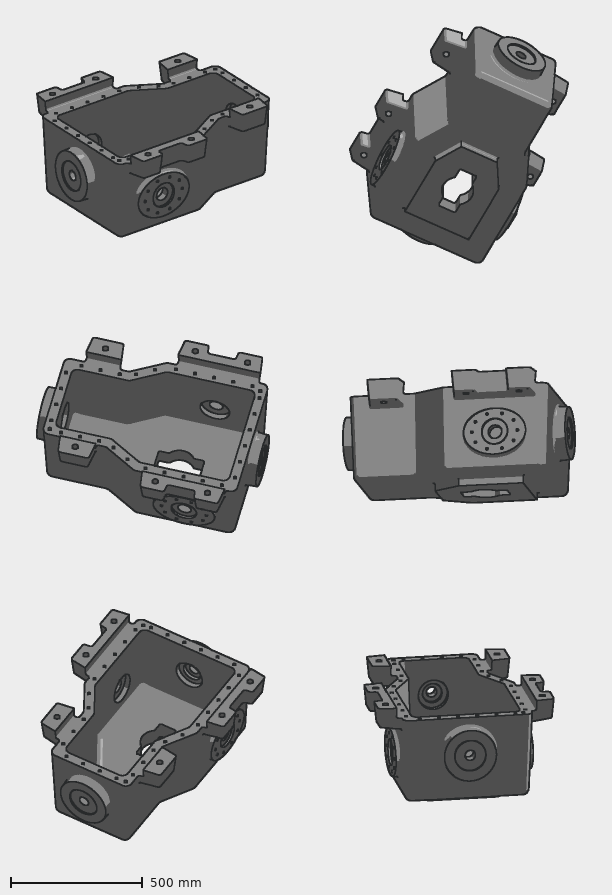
import math

import cadquery as cq


NARROW_HALF_WIDTH = 175
WIDE_HALF_WIDTH = 250
HALF_LENGTH = 390
SHOULDER_CENTER_Y = 74
SHOULDER_ANGLE = 30
BODY_HEIGHT = 330
WALL = 40
FLOOR = 40
DRAFT = 2
CORNER_RADIUS = 25
FLOOR_RADIUS = 25

PAD_HEIGHT = 30
PAD_HALF_WIDTH = 136
PAD_FRONT_Y = -275
PAD_BACK_Y = 77
PAD_SHOULDER_Y = -26
PAD_FOOT_RADIUS = 8
DRAIN_Y = -103
DRAIN_DIAMETER = 120
DRAIN_SLOT_WIDTH = 72
DRAIN_SLOT_LENGTH = 180
DRAIN_CORNER_RADIUS = 8

END_BOSS_FACE_Y = 430
END_BOSS_Z = -140
END_BOSS_DIAMETER = 201
END_HOLE_DIAMETER = 40
END_FACE_RECESS_DIAMETER = 120
END_FACE_RECESS_DEPTH = 6
END_INNER_RECESS_DIAMETER = 115
END_INNER_RECESS_DEPTH = 20
END_INNER_STEP_DIAMETER = 75
END_INNER_STEP_DEPTH = 15

SIDE_BOSS_FACE_X = 265
SIDE_BOSS_Y = -190
SIDE_BOSS_Z = -185
SIDE_BOSS_LENGTH = 241
SIDE_BOSS_HEIGHT = 180
SIDE_HOLE_DIAMETER = 52
SIDE_FACE_RECESS_DIAMETER = 100
SIDE_FACE_RECESS_DEPTH = 10
SIDE_INNER_RECESS_DIAMETER = 115
SIDE_INNER_RECESS_DEPTH = 20
SIDE_BOLT_DIAMETER = 8.38
SIDE_BOLT_DEPTH = 20
SIDE_BOLT_OFFSETS = [(88, 0), (74, 40), (29, 68)]
BOSS_FOOT_RADIUS = 10
BOSS_DRAFT = 3

LUG_TOP = 40
LUG_DRAFT = 5
LUG_FLARE = math.tan(math.radians(8))
LUG_CORNER_RADIUS = 10
LUG_FOOT_RADIUS = 10
LUG_STEP_RADIUS = 7
LUG_STEP_GAP = 20
LUG_UNDERSIDE_Z = -39
LUG_UNDERSIDE_SLOPE = math.tan(math.radians(5))
LUG_EDGE_RADIUS = 8
LUG_HOLE_DIAMETER = 22
LUG_ROOT_DEPTH = 20
NARROW_LUG_REACH = 91
NARROW_LUG_Y = 243.5
NARROW_LUG_HALF_LENGTH = 60
NARROW_LUG_HOLE_X = 228
NARROW_LUG_HOLE_Y = 246
WIDE_LUG_REACH = 90
WIDE_LUG_Y = -190
WIDE_LUG_HALF_LENGTH = 152
WIDE_LUG_NOTCH_DEPTH = 35
WIDE_LUG_NOTCH_HALF_LENGTH = 59
WIDE_LUG_HOLE_X = 302.5
WIDE_LUG_HOLE_SPACING = 205

FLANGE_BOLT_DIAMETER = 10.1
FLANGE_BOLT_DEPTH = 25
FLANGE_INSET = 20
FLANGE_PITCH = 75
END_ROW_PITCH = 74
FRONT_ROW_PAIRS = 3
BACK_ROW_PAIRS = 2
WIDE_ROW_START_Y = -330
WIDE_ROW_COUNT = 5
NARROW_ROW_START_Y = 171
NARROW_ROW_COUNT = 3
SHOULDER_BOLTS = [(170, 110.5), (208, 46.5)]
DOWEL_DIAMETER = 12
DOWELS = [(-150, 366), (216, -364.5)]


def outline_with_shoulders(narrow, wide, front_y, back_y, shoulder_front_y, shoulder_back_y):
    """Points of a symmetric outline that narrows from the front (-Y) to the back (+Y)."""
    right = [
        (wide, front_y),
        (wide, shoulder_front_y),
        (narrow, shoulder_back_y),
        (narrow, back_y),
    ]
    return right + [(-x, y) for x, y in reversed(right)]


def inset_outline(points, inset):
    """Move every side of an anticlockwise outline inwards by the same distance."""
    moved = []
    for i, (x, y) in enumerate(points):
        before, after = points[i - 1], points[(i + 1) % len(points)]
        heading_in = math.atan2(y - before[1], x - before[0])
        heading_out = math.atan2(after[1] - y, after[0] - x)
        half_turn = math.remainder(heading_out - heading_in, math.tau) / 2
        bisector = heading_in + half_turn + math.pi / 2
        reach = inset / math.cos(half_turn)
        moved.append((x + reach * math.cos(bisector), y + reach * math.sin(bisector)))
    return moved


def drafted_block(points, top_z, depth, draft):
    """Flat-sided block hanging below an outline, its walls leaning inwards by the draft angle."""
    bottom_points = inset_outline(points, depth * math.tan(math.radians(draft)))
    top = [cq.Vector(x, y, top_z) for x, y in points]
    bottom = [cq.Vector(x, y, top_z - depth) for x, y in bottom_points]
    polygons = [top, bottom]
    polygons += [[bottom[i - 1], bottom[i], top[i], top[i - 1]] for i in range(len(top))]
    faces = [cq.Face.makeFromWires(cq.Wire.makePolygon(polygon, close=True)) for polygon in polygons]
    return cq.Workplane(cq.Solid.makeSolid(cq.Shell.makeShell(faces)))


def steep_edges(solid, drop):
    return [edge for edge in solid.Edges() if edge.BoundingBox().zlen > drop]


def tapered_shell(inset, height):
    """Drafted block below the flange face, with rounded upright corners and bottom edges."""
    slant_half_length = (WIDE_HALF_WIDTH - NARROW_HALF_WIDTH) / math.tan(math.radians(SHOULDER_ANGLE)) / 2
    flange_outline = outline_with_shoulders(
        NARROW_HALF_WIDTH,
        WIDE_HALF_WIDTH,
        -HALF_LENGTH,
        HALF_LENGTH,
        SHOULDER_CENTER_Y - slant_half_length,
        SHOULDER_CENTER_Y + slant_half_length,
    )
    points = inset_outline(flange_outline, inset)
    block = drafted_block(points, 0, height, DRAFT)
    block = block.newObject(steep_edges(block.val(), height / 2)).fillet(CORNER_RADIUS)
    return block.faces("<Z").edges().fillet(FLOOR_RADIUS)


def join_with_foot(body, feature, radius):
    """Union of a body and a feature with a fillet along the line where their surfaces meet."""
    touching = 1e-3
    sample_fractions = (0.2, 0.5, 0.8)
    joined = body.union(feature)
    surfaces = [solid.val().Shells()[0] for solid in (body, feature)]

    def lies_on_both(edge):
        points = [cq.Vertex.makeVertex(*edge.positionAt(t).toTuple()) for t in sample_fractions]
        return all(surface.distance(p) < touching for surface in surfaces for p in points)

    seam = [edge for edge in joined.edges().vals() if lies_on_both(edge)]
    return joined.newObject(seam).fillet(radius)


def mirrored(feature, side):
    return feature if side > 0 else feature.mirror("YZ")


def end_plane(y, side):
    """Plane facing outwards from an end wall, centred on the end boss axis."""
    return cq.Plane(origin=(0, side * y, END_BOSS_Z), xDir=(1, 0, 0), normal=(0, side, 0))


def side_plane(x, side):
    """Plane facing outwards from a side wall, centred on the side boss axis; its x is along Y."""
    return cq.Plane(origin=(side * x, SIDE_BOSS_Y, SIDE_BOSS_Z), xDir=(0, 1, 0), normal=(side, 0, 0))


def end_boss(side):
    depth = END_BOSS_FACE_Y - HALF_LENGTH + WALL / 2
    face = cq.Workplane(end_plane(END_BOSS_FACE_Y, side))
    return face.circle(END_BOSS_DIAMETER / 2).extrude(-depth, taper=-BOSS_DRAFT)


def side_boss(side):
    depth = SIDE_BOSS_FACE_X - WIDE_HALF_WIDTH + WALL / 2
    face = cq.Workplane(side_plane(SIDE_BOSS_FACE_X, side))
    return face.ellipse(SIDE_BOSS_LENGTH / 2, SIDE_BOSS_HEIGHT / 2).extrude(-depth, taper=-BOSS_DRAFT)


def finish_lug(outline, wall_x, reach, center_y):
    """Draft a lug outline downwards, slope its underside and step its top down to the flange."""
    outer_x = wall_x + reach
    inner_x = wall_x - LUG_ROOT_DEPTH
    step_x = wall_x + LUG_STEP_GAP
    lowest_z = LUG_UNDERSIDE_Z - (outer_x - inner_x) * LUG_UNDERSIDE_SLOPE
    depth = 2 * LUG_TOP - lowest_z
    lug = drafted_block(outline, LUG_TOP, depth, LUG_DRAFT).translate((0, center_y, 0))
    outer_corners = [
        edge for edge in steep_edges(lug.val(), depth / 2) if edge.Center().x > step_x
    ]
    lug = lug.newObject(outer_corners).fillet(LUG_CORNER_RADIUS)
    profile = (
        cq.Workplane("XZ")
        .moveTo(inner_x, 0)
        .lineTo(step_x - LUG_STEP_RADIUS, 0)
        .radiusArc((step_x, LUG_STEP_RADIUS), -LUG_STEP_RADIUS)
        .lineTo(step_x, LUG_TOP)
        .lineTo(outer_x, LUG_TOP)
        .lineTo(outer_x, LUG_UNDERSIDE_Z)
        .lineTo(inner_x, lowest_z)
        .close()
        .extrude(2 * HALF_LENGTH, both=True)
    )
    lug = lug.intersect(profile)
    return lug.faces("<Z").edges("not <X").fillet(LUG_EDGE_RADIUS)


def narrow_lug():
    root_x = NARROW_HALF_WIDTH - LUG_ROOT_DEPTH
    outer_x = NARROW_HALF_WIDTH + NARROW_LUG_REACH
    root_half_length = NARROW_LUG_HALF_LENGTH + (outer_x - root_x) * LUG_FLARE
    outline = [
        (root_x, -root_half_length),
        (outer_x, -NARROW_LUG_HALF_LENGTH),
        (outer_x, NARROW_LUG_HALF_LENGTH),
        (root_x, root_half_length),
    ]
    return finish_lug(outline, NARROW_HALF_WIDTH, NARROW_LUG_REACH, NARROW_LUG_Y)


def wide_lug():
    root_x = WIDE_HALF_WIDTH - LUG_ROOT_DEPTH
    outer_x = WIDE_HALF_WIDTH + WIDE_LUG_REACH
    notch_x = outer_x - WIDE_LUG_NOTCH_DEPTH
    root_half_length = WIDE_LUG_HALF_LENGTH + (outer_x - root_x) * LUG_FLARE
    notch_root = WIDE_LUG_NOTCH_HALF_LENGTH - WIDE_LUG_NOTCH_DEPTH * LUG_FLARE
    back_half = [
        (notch_x, notch_root),
        (outer_x, WIDE_LUG_NOTCH_HALF_LENGTH),
        (outer_x, WIDE_LUG_HALF_LENGTH),
        (root_x, root_half_length),
    ]
    outline = back_half + [(x, -y) for x, y in reversed(back_half)]
    return finish_lug(outline, WIDE_HALF_WIDTH, WIDE_LUG_REACH, WIDE_LUG_Y)


def bottom_pad():
    back_half_width = PAD_HALF_WIDTH - (PAD_BACK_Y - PAD_SHOULDER_Y) * math.tan(math.radians(SHOULDER_ANGLE))
    corners = [
        (PAD_HALF_WIDTH, PAD_FRONT_Y),
        (PAD_HALF_WIDTH, PAD_SHOULDER_Y),
        (back_half_width, PAD_BACK_Y),
        (-back_half_width, PAD_BACK_Y),
        (-PAD_HALF_WIDTH, PAD_SHOULDER_Y),
        (-PAD_HALF_WIDTH, PAD_FRONT_Y),
    ]
    bottom = cq.Workplane("XY", origin=(0, 0, -BODY_HEIGHT - PAD_HEIGHT))
    return bottom.polyline(corners).close().extrude(PAD_HEIGHT + FLOOR / 2)


def drain_opening():
    depth = PAD_HEIGHT + 2 * FLOOR
    bottom = cq.Workplane("XY", origin=(0, DRAIN_Y, -BODY_HEIGHT - PAD_HEIGHT))
    slot = bottom.rect(DRAIN_SLOT_WIDTH, DRAIN_SLOT_LENGTH).extrude(depth)
    opening = slot.union(bottom.circle(DRAIN_DIAMETER / 2).extrude(depth))
    return opening.edges("|Z").fillet(DRAIN_CORNER_RADIUS)


def end_bore(side):
    """Outer recess, through hole and stepped inner recess of an end boss."""
    bore_length = END_BOSS_FACE_Y - HALF_LENGTH + 2 * WALL
    face = cq.Workplane(end_plane(END_BOSS_FACE_Y, side))
    draft_shift = -END_BOSS_Z * math.tan(math.radians(DRAFT))
    inner_wall_y = HALF_LENGTH - WALL - draft_shift
    inside = cq.Workplane(end_plane(inner_wall_y - WALL, side))
    inner_recess_depth = WALL + END_INNER_RECESS_DEPTH
    inner_step_depth = inner_recess_depth + END_INNER_STEP_DEPTH
    hole = face.circle(END_HOLE_DIAMETER / 2).extrude(-bore_length)
    outer_recess = face.circle(END_FACE_RECESS_DIAMETER / 2).extrude(-END_FACE_RECESS_DEPTH)
    inner_recess = inside.circle(END_INNER_RECESS_DIAMETER / 2).extrude(inner_recess_depth)
    inner_step = inside.circle(END_INNER_STEP_DIAMETER / 2).extrude(inner_step_depth)
    return hole.union(outer_recess).union(inner_recess).union(inner_step)


def side_bore(side):
    """Recesses, through hole and tapped holes of a side boss."""
    bore_length = SIDE_BOSS_FACE_X - WIDE_HALF_WIDTH + 2 * WALL
    face = cq.Workplane(side_plane(SIDE_BOSS_FACE_X, side))
    draft_shift = -SIDE_BOSS_Z * math.tan(math.radians(DRAFT))
    inner_wall_x = WIDE_HALF_WIDTH - WALL - draft_shift
    inside = cq.Workplane(side_plane(inner_wall_x - WALL, side))
    hole = face.circle(SIDE_HOLE_DIAMETER / 2).extrude(-bore_length)
    outer_recess = face.circle(SIDE_FACE_RECESS_DIAMETER / 2).extrude(-SIDE_FACE_RECESS_DEPTH)
    inner_recess = inside.circle(SIDE_INNER_RECESS_DIAMETER / 2).extrude(WALL + SIDE_INNER_RECESS_DEPTH)
    bolt_points = {
        (along * x, up * z) for x, z in SIDE_BOLT_OFFSETS for along in (1, -1) for up in (1, -1)
    }
    bolts = face.pushPoints(sorted(bolt_points)).circle(SIDE_BOLT_DIAMETER / 2).extrude(-SIDE_BOLT_DEPTH)
    return hole.union(outer_recess).union(inner_recess).union(bolts)


def flange_bolt_points():
    end_y = HALF_LENGTH - FLANGE_INSET
    right = [
        (WIDE_HALF_WIDTH - FLANGE_INSET, WIDE_ROW_START_Y + i * FLANGE_PITCH) for i in range(WIDE_ROW_COUNT)
    ]
    right += [
        (NARROW_HALF_WIDTH - FLANGE_INSET, NARROW_ROW_START_Y + i * FLANGE_PITCH)
        for i in range(NARROW_ROW_COUNT)
    ]
    right += SHOULDER_BOLTS
    right += [((i + 0.5) * END_ROW_PITCH, -end_y) for i in range(FRONT_ROW_PAIRS)]
    right += [((i + 0.5) * END_ROW_PITCH, end_y) for i in range(BACK_ROW_PAIRS)]
    return right + [(-x, y) for x, y in right]


def flange_holes():
    flange = cq.Workplane("XY")
    bolts = flange.pushPoints(flange_bolt_points()).circle(FLANGE_BOLT_DIAMETER / 2)
    bolts = bolts.extrude(-FLANGE_BOLT_DEPTH)
    dowels = flange.pushPoints(DOWELS).circle(DOWEL_DIAMETER / 2).extrude(-FLANGE_BOLT_DEPTH)
    return bolts.union(dowels)


def lug_holes():
    right = [(NARROW_LUG_HOLE_X, NARROW_LUG_HOLE_Y)]
    right += [(WIDE_LUG_HOLE_X, WIDE_LUG_Y + end * WIDE_LUG_HOLE_SPACING / 2) for end in (1, -1)]
    points = right + [(-x, y) for x, y in right]
    top = cq.Workplane("XY", origin=(0, 0, LUG_TOP))
    return top.pushPoints(points).circle(LUG_HOLE_DIAMETER / 2).extrude(-BODY_HEIGHT / 2)


result = tapered_shell(0, BODY_HEIGHT)
result = join_with_foot(result, bottom_pad(), PAD_FOOT_RADIUS)
for direction in (1, -1):
    result = join_with_foot(result, end_boss(direction), BOSS_FOOT_RADIUS)
    result = join_with_foot(result, side_boss(direction), BOSS_FOOT_RADIUS)
    for lug in (narrow_lug(), wide_lug()):
        result = join_with_foot(result, mirrored(lug, direction), LUG_FOOT_RADIUS)

result = result.cut(tapered_shell(WALL, BODY_HEIGHT - FLOOR))
result = result.cut(drain_opening())
for direction in (1, -1):
    result = result.cut(end_bore(direction)).cut(side_bore(direction))
result = result.cut(flange_holes()).cut(lug_holes())
result = cq.Workplane(result.solids().val())